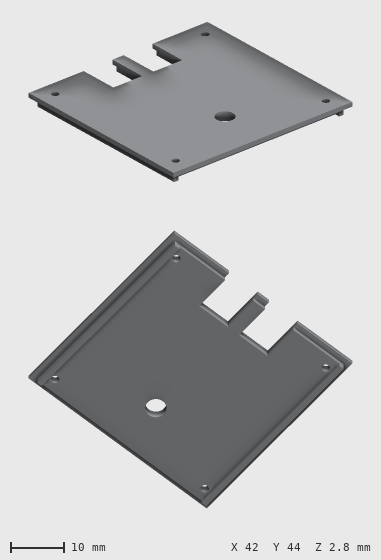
import cadquery as cq

length_x = 42.0
width_y = 44.0
plate_thickness = 1.0

step_inset = 1.15
step_thickness = 1.0
rib_height = 0.8
rib_width = 1.1

notch_depth = 8.62
notch_span = 16.95
tongue_width = 2.75

screw_hole_diameter = 1.6
screw_spacing_x = 35.0
screw_spacing_y = 36.95
large_hole_diameter = 4.0
large_hole_x = 10.0

total_height = rib_height + step_thickness + plate_thickness
step_length = length_x - 2 * step_inset
step_width = width_y - 2 * step_inset
notch_width = (notch_span - tongue_width) / 2
notch_offset = (tongue_width + notch_width) / 2
rib_offset = (step_width - rib_width) / 2


def block(size_x, size_y, height, bottom, center=(0, 0)):
    """Box centred on a point in XY, rising from the given bottom height."""
    box = cq.Workplane("XY").box(size_x, size_y, height, centered=(True, True, False))
    return box.translate((center[0], center[1], bottom))


def through_holes(diameter, points):
    """Cylinders that pass through the full height of the part."""
    return cq.Workplane("XY").pushPoints(points).circle(diameter / 2).extrude(total_height)


result = block(length_x, width_y, plate_thickness, rib_height + step_thickness)
result = result.union(block(step_length, step_width, step_thickness, rib_height))

notch_x = (notch_depth - length_x) / 2
for side in (-1, 1):
    result = result.union(block(step_length, rib_width, rib_height, 0, (0, side * rib_offset)))
    notch = block(notch_depth, notch_width, total_height, 0, (notch_x, side * notch_offset))
    result = result.cut(notch)

screw_points = [
    (x_side * screw_spacing_x / 2, y_side * screw_spacing_y / 2)
    for x_side in (-1, 1)
    for y_side in (-1, 1)
]
result = result.cut(through_holes(screw_hole_diameter, screw_points))
result = result.cut(through_holes(large_hole_diameter, [(large_hole_x, 0)]))